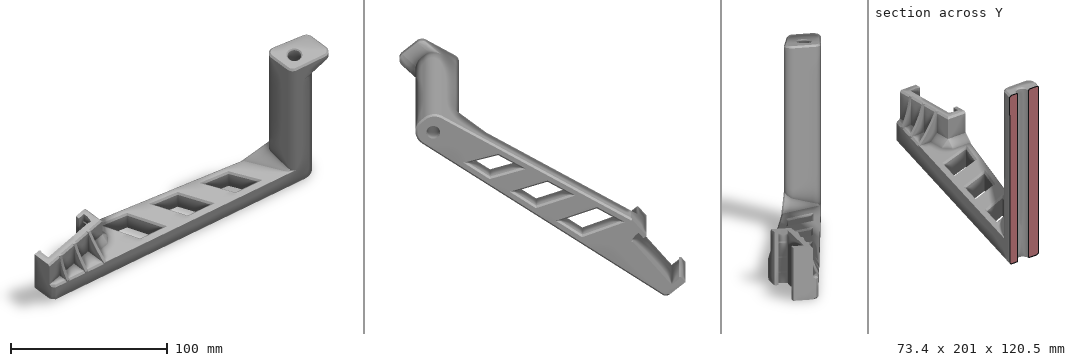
import cadquery as cq
import math

total_length = 201.0
total_height = 120.5
edge_chamfer = 1.2

arm_height = 14.9
left_edge_start = (0.0, 55.7)
left_edge_end = (52.5, total_length)
right_edge_start = (17.9, 0.0)
right_edge_end = (75.0, total_length)
tail_corner = 1.6
arm_inner_x = 11.0
arm_inner_y = 46.2
arm_end_y = 178.5

window_count = 3
window_pitch = 34.2
window_first_y = 56.3
window_length = 19.3
window_skew = 9.6
window_wall = 4.5

post_front_y = 170.8
post_back_y = 193.0
post_front_radius = 5.0
post_back_radius = 10.0
head_radius = 5.0
head_rim_z = 115.3
overhang_start_y = 185.3
overhang_start_z = 105.3
hole_diameter = 8.6
hole_center = (58.5, 181.9)
hole_chamfer = 0.8

gusset_foot_left = (38.2, 156.7)
gusset_foot_right = (65.5, 169.8)
gusset_slope = 0.58

clip_height = 35.0
clip_width = 14.5
clip_end_y = 49.5
clip_back_x = 9.5
hook_end_y = 40.2
hook_thickness = 2.6
channel_end_hook_y = 45.0
channel_end_bend_x = 5.5
channel_end_back_y = 44.0
channel_corner = 0.8
bar_count = 3
bar_pitch = 9.8
bar_first_z = 6.8
bar_thickness = 1.0
foot_start_x = 1.5
foot_thickness = 4.2
foot_bump = 1.0
base_slope_size = 5.0

rib_count = 3
rib_pitch = 13.3
rib_first_y = 9.6
rib_thickness = 2.0
rib_hollow = 1.0
last_rib_y = rib_first_y + (rib_count - 1) * rib_pitch
tail_end_y = last_rib_y + rib_thickness / 2


def x_on_line(start, end, y):
    """X of the straight line from start to end at the given Y."""
    return start[0] + (end[0] - start[0]) * (y - start[1]) / (end[1] - start[1])


def left_x(y):
    return x_on_line(left_edge_start, left_edge_end, y)


def right_x(y):
    return x_on_line(right_edge_start, right_edge_end, y)


def prism(points, bottom, top):
    """Upright prism over a closed plan outline."""
    return cq.Workplane("XY", origin=(0, 0, bottom)).polyline(points).close().extrude(top - bottom)


def post_outline(front_y, back_y):
    """Plan corners between the two arm edges: front left, front right, back right, back left."""
    return [
        (left_x(front_y), front_y),
        (right_x(front_y), front_y),
        (right_x(back_y), back_y),
        (left_x(back_y), back_y),
    ]


def corner_edges(solid, y):
    """Upright edges of a solid that stand at the given Y."""
    margin = 0.02
    low = (0, y - margin, 0)
    high = (total_length, y + margin, total_height)
    return solid.edges("|Z").edges(cq.selectors.BoxSelector(low, high))


def post_block(back_y, back_radius, bottom, top):
    """Upright block on the post section, with its four upright edges rounded."""
    block = prism(post_outline(post_front_y, back_y), bottom, top)
    block = corner_edges(block, post_front_y).fillet(post_front_radius)
    return corner_edges(block, back_y).fillet(back_radius)


def make_tail():
    """Front end of the arm, beside the clip, with chamfered outer edges."""
    tail = prism(
        [
            (arm_inner_x, 0),
            (right_x(0) - tail_corner, 0),
            (right_x(tail_corner), tail_corner),
            (right_x(tail_end_y), tail_end_y),
            (arm_inner_x, tail_end_y),
        ],
        0,
        arm_height,
    )
    return tail.faces("<Z or >Z").edges("not (|X or |Y)").chamfer(edge_chamfer)


def make_gusset():
    """Wedge that rises from a slanted foot line on the arm to the post."""
    foot_run = gusset_foot_right[0] - gusset_foot_left[0]
    foot_rise = gusset_foot_right[1] - gusset_foot_left[1]
    foot_angle = math.degrees(math.atan2(foot_rise, foot_run))
    reach = total_length - post_front_y
    steepness = gusset_slope / math.cos(math.radians(foot_angle))
    wedge = (
        cq.Workplane("YZ")
        .polyline([(0, 0), (reach, 0), (reach, reach * steepness)])
        .close()
        .extrude(reach, both=True)
        .rotate((0, 0, 0), (0, 0, 1), foot_angle)
        .translate((*gusset_foot_left, arm_height))
    )
    limits = prism(post_outline(gusset_foot_left[1] - 2, arm_end_y), 0, total_height)
    return wedge.intersect(limits)


def make_arm():
    """Sloping arm with its gusset, before the windows are cut."""
    arm = prism(
        [
            (arm_inner_x, tail_end_y),
            (right_x(tail_end_y), tail_end_y),
            (right_x(arm_end_y), arm_end_y),
            (left_x(arm_end_y), arm_end_y),
            left_edge_start,
            (0, arm_inner_y),
            (arm_inner_x, arm_inner_y),
        ],
        0,
        arm_height,
    )
    arm = arm.faces("<Z").edges("not (|X or |Y)").chamfer(edge_chamfer)
    arm = arm.union(make_gusset())
    arm_middle_y = (left_edge_start[1] + gusset_foot_left[1]) / 2
    gusset_middle_y = (gusset_foot_left[1] + arm_end_y) / 2
    gusset_middle_z = arm_height + gusset_slope * (arm_end_y - gusset_foot_left[1]) / 2
    arm_edge = (left_x(arm_middle_y), arm_middle_y, arm_height)
    gusset_edge = (left_x(gusset_middle_y), gusset_middle_y, gusset_middle_z)
    near_arm = cq.selectors.NearestToPointSelector(arm_edge)
    near_gusset = cq.selectors.NearestToPointSelector(gusset_edge)
    return arm.edges(near_arm + near_gusset).chamfer(edge_chamfer)


def make_window(low_left_y):
    """Skewed window opening that widens at both faces of the arm."""
    low_right_y = low_left_y + window_skew
    corners = [
        (low_left_y, left_x, window_wall),
        (low_right_y, right_x, -window_wall),
        (low_right_y + window_length, right_x, -window_wall),
        (low_left_y + window_length, left_x, window_wall),
    ]
    outline = [(edge_x(y) + wall, y) for y, edge_x, wall in corners]
    opening = cq.Workplane("XY").polyline(outline).close().offset2D(-edge_chamfer).extrude(arm_height)
    for face_z, inward in [(0, edge_chamfer), (arm_height, -edge_chamfer)]:
        face = cq.Workplane("XY", origin=(0, 0, face_z))
        opening = opening.union(face.polyline(outline).close().extrude(inward, taper=45))
    return opening


def make_post():
    """Upright post whose head overhangs towards +Y."""
    shaft = post_block(post_back_y, post_back_radius, 0, head_rim_z)
    shaft = shaft.faces("<Z").edges().chamfer(edge_chamfer)
    head = post_block(total_length, head_radius, head_rim_z, total_height)
    head = head.faces(">Z").edges().chamfer(edge_chamfer)
    root = post_block(overhang_start_y, head_radius, overhang_start_z, head_rim_z)
    bottom_wires = [block.faces("<Z").wires().val() for block in (root, head)]
    overhang = cq.Workplane(cq.Solid.makeLoft(bottom_wires, True))
    return shaft.union(overhang).union(head)


def make_clip():
    """C-shaped clip with a short hook at one end and a foot with a small bump at the other."""
    bump_y = foot_thickness + foot_bump
    clip = prism(
        [
            (foot_start_x, 0),
            (clip_width, 0),
            (clip_width, clip_end_y),
            (0, clip_end_y),
            (0, hook_end_y),
            (hook_thickness, hook_end_y),
            (hook_thickness, channel_end_hook_y),
            (channel_end_bend_x, channel_end_hook_y),
            (clip_back_x, channel_end_back_y),
            (clip_back_x + channel_corner, channel_end_back_y - channel_corner),
            (clip_back_x, channel_end_back_y - 2 * channel_corner),
            (clip_back_x, foot_thickness),
            (foot_start_x + 2 * foot_bump, foot_thickness),
            (foot_start_x + foot_bump, bump_y),
            (foot_start_x, foot_thickness),
        ],
        0,
        clip_height,
    )
    side_edge = cq.selectors.NearestToPointSelector((clip_width, clip_end_y / 2, clip_height))
    end_edge = cq.selectors.NearestToPointSelector((clip_width / 2, clip_end_y, clip_height))
    return clip.edges(side_edge + end_edge).chamfer(edge_chamfer)


def make_bar(bottom):
    """Small bar on the channel's end wall that levels out its bend."""
    corners = [
        (hook_thickness, channel_end_back_y),
        (clip_back_x, channel_end_back_y),
        (channel_end_bend_x, channel_end_hook_y),
        (hook_thickness, channel_end_hook_y),
    ]
    return prism(corners, bottom, bottom + bar_thickness)


def make_clip_base():
    """Sloped skirt around the outer corner of the clip, with a flat facet at the corner."""
    skirt_top = arm_height + base_slope_size
    outer_x = clip_width + base_slope_size
    outer_y = clip_end_y + base_slope_size
    along_x = (
        cq.Workplane("YZ")
        .polyline(
            [
                (arm_inner_y, 0),
                (outer_y, 0),
                (outer_y, arm_height),
                (clip_end_y, skirt_top),
                (arm_inner_y, skirt_top),
            ]
        )
        .close()
        .extrude(clip_width)
    )
    along_y = (
        cq.Workplane("XZ", origin=(0, clip_end_y, 0))
        .polyline([(clip_width, arm_height), (outer_x, arm_height), (clip_width, skirt_top)])
        .close()
        .extrude(clip_end_y - last_rib_y)
    )
    corner = cq.Vector(clip_width, clip_end_y, arm_height)
    tips = [
        cq.Vector(outer_x, clip_end_y, arm_height),
        cq.Vector(clip_width, outer_y, arm_height),
        cq.Vector(clip_width, clip_end_y, skirt_top),
    ]
    triangles = [tips] + [[corner, tips[i], tips[i - 1]] for i in range(3)]
    faces = [cq.Face.makeFromWires(cq.Wire.makePolygon(points, close=True)) for points in triangles]
    facet = cq.Solid.makeSolid(cq.Shell.makeShell(faces))
    return along_x.union(along_y).union(cq.Workplane(facet))


def make_rib(start_y):
    """Rib with a slightly hollow slope from the clip's top down to the arm's outer edge."""
    tip_x = right_x(start_y + rib_thickness / 2)
    back_x = clip_width - edge_chamfer
    root_z = arm_height - edge_chamfer
    return (
        cq.Workplane("XZ", origin=(0, start_y + rib_thickness, 0))
        .moveTo(back_x, root_z)
        .lineTo(tip_x, root_z)
        .lineTo(tip_x, arm_height)
        .sagittaArc((clip_width, clip_height), rib_hollow)
        .lineTo(back_x, clip_height)
        .close()
        .extrude(rib_thickness)
    )


result = make_arm().union(make_tail())
for index in range(window_count):
    result = result.cut(make_window(window_first_y + index * window_pitch))

result = result.union(make_clip()).union(make_clip_base())
for index in range(rib_count):
    result = result.union(make_rib(rib_first_y + index * rib_pitch))

for index in range(bar_count):
    result = result.union(make_bar(bar_first_z + index * bar_pitch))

result = result.union(make_post())
hole_radius = hole_diameter / 2
hole = cq.Workplane("XY").center(*hole_center).circle(hole_radius).extrude(total_height)
hole_flare = (
    cq.Workplane("XY", origin=(*hole_center, total_height))
    .circle(hole_radius + hole_chamfer)
    .extrude(-hole_chamfer, taper=45)
)
result = result.cut(hole).cut(hole_flare)